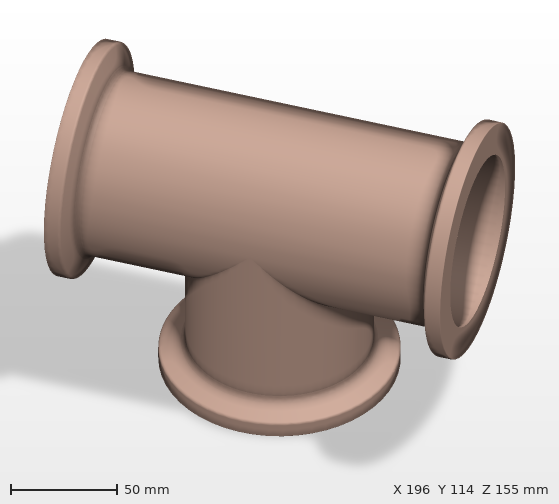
import cadquery as cq
import math

tube_radius = 89.0 / 2
bore_radius = 83.0 / 2
run_length = 196.0
branch_length = 98.0

flange_radius = 114.0 / 2
cone_angle = math.radians(20)
cone_start = 7.85
face_fillet = 0.4
rim_fillet = 1.5
root_fillet = 3.0
cone_end = cone_start + (flange_radius - tube_radius) * math.tan(cone_angle)


def circle_edges(solid, height, radius):
    """Return the circular edges of a given height and radius on a Z-axis solid."""
    tolerance = 1e-4
    return [
        edge
        for edge in solid.Edges()
        if edge.geomType() == "CIRCLE"
        and abs(edge.Center().z - height) < tolerance
        and abs(edge.radius() - radius) < tolerance
    ]


def flanged_tube(length):
    """Solid spigot on the Z axis: plain end at the origin, clamp flange face at z = -length."""
    outline = (
        cq.Workplane("XZ")
        .moveTo(0, 0)
        .lineTo(tube_radius, 0)
        .lineTo(tube_radius, cone_end - length)
        .lineTo(flange_radius, cone_start - length)
        .lineTo(flange_radius, -length)
        .lineTo(0, -length)
        .close()
    )
    spigot = outline.revolve(360, (0, 0, 0), (0, 1, 0)).val()
    for height, radius, fillet in (
        (cone_end, tube_radius, root_fillet),
        (cone_start, flange_radius, rim_fillet),
        (0, flange_radius, face_fillet),
    ):
        spigot = spigot.fillet(fillet, circle_edges(spigot, height - length, radius))
    return cq.Workplane(spigot)


def run_body():
    """Straight run along X, made of two mirrored spigots that meet at the centre."""
    spigot = flanged_tube(run_length / 2)
    left = spigot.rotate((0, 0, 0), (0, 1, 0), 90)
    right = left.mirror("YZ")
    return left.union(right)


def bores():
    """Through bore of the run and the branch bore that opens into it."""
    run_bore = cq.Workplane("YZ").circle(bore_radius).extrude(run_length / 2, both=True)
    branch_bore = cq.Workplane("XY").circle(bore_radius).extrude(-branch_length)
    return run_bore.union(branch_bore)


result = run_body().union(flanged_tube(branch_length)).cut(bores())